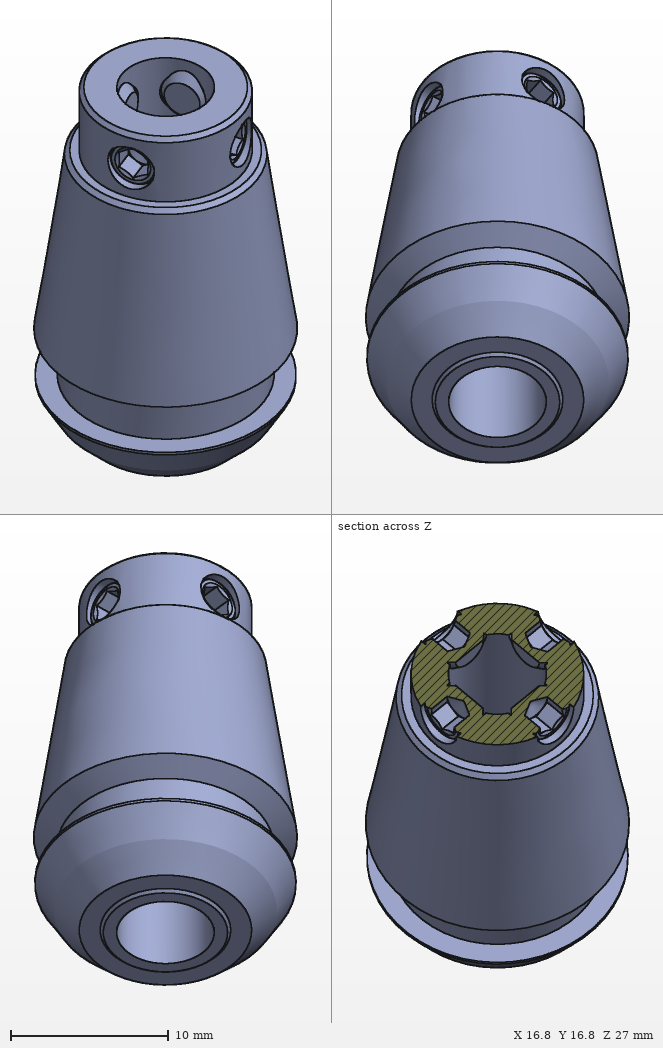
import cadquery as cq
import math

total_height = 27.0
bore_diameter = 6.2
edge_chamfer = 0.3

boss_height = 0.2
boss_bottom_radius = 3.95
nose_bottom_radius = 5.48
nose_top_radius = 7.08
nose_top = 1.85

flange_radius = 16.6 / 2
flange_top = 4.2
flange_rim_height = 0.2

groove_radius = 13.8 / 2
groove_top = 7.0

taper_base_radius = 16.76 / 2
taper_bevel_angle = 30.0
taper_half_angle = 8.0
shoulder_z = 22.0

collar_radius = 11.0 / 2

screw_count = 4
screw_z = 24.3
screw_hole_diameter = 3.24
screw_diameter = 4.0
screw_outer_end = 5.0
screw_inner_end = 2.5
screw_tip_diameter = 2.5
screw_face_diameter = 3.0
hex_width = 2.0
hex_depth = 1.5
hex_mouth_diameter = 2.5
hex_mouth_angle = 30.0
hex_floor_cone_height = 0.5


def slope(angle):
    return math.tan(math.radians(angle))


def make_body():
    """Revolve the stepped outer profile and bore it through."""
    bore_radius = bore_diameter / 2
    flange_rim_bottom = flange_top - flange_rim_height
    taper_base_z = groove_top + (taper_base_radius - groove_radius) * slope(taper_bevel_angle)
    chamfer_z = shoulder_z - edge_chamfer
    shoulder_radius = taper_base_radius - (shoulder_z - taper_base_z) * slope(taper_half_angle)
    chamfer_radius = taper_base_radius - (chamfer_z - taper_base_z) * slope(taper_half_angle)

    profile = [
        (bore_radius, 0),
        (boss_bottom_radius, 0),
        (boss_bottom_radius + boss_height, boss_height),
        (nose_bottom_radius, boss_height),
        (nose_top_radius, nose_top),
        (flange_radius, flange_rim_bottom),
        (flange_radius, flange_top),
        (groove_radius, flange_top),
        (groove_radius, groove_top),
        (taper_base_radius, taper_base_z),
        (chamfer_radius, chamfer_z),
        (shoulder_radius - edge_chamfer, shoulder_z),
        (collar_radius, shoulder_z),
        (collar_radius, total_height - edge_chamfer),
        (collar_radius - edge_chamfer, total_height),
        (bore_radius, total_height),
    ]
    return cq.Workplane("XZ").polyline(profile).close().revolve(360, (0, 0, 0), (0, 1, 0))


def revolve_about_x(points):
    """Revolve an (x, radius) outline about the X axis."""
    return cq.Workplane("XY").polyline(points).close().revolve(360, (0, 0, 0), (1, 0, 0))


def make_screw_hole():
    """Radial hole along +X, from inside the bore out through the collar."""
    return cq.Workplane("YZ").circle(screw_hole_diameter / 2).extrude(collar_radius + edge_chamfer)


def make_screw():
    """Set screw along +X: flat chamfered tip toward the bore, hex socket facing outward."""
    radius = screw_diameter / 2
    tip_radius = screw_tip_diameter / 2
    face_radius = screw_face_diameter / 2
    shank = revolve_about_x([
        (screw_inner_end, 0),
        (screw_inner_end, tip_radius),
        (screw_inner_end + radius - tip_radius, radius),
        (screw_outer_end - radius + face_radius, radius),
        (screw_outer_end, face_radius),
        (screw_outer_end, 0),
    ])

    corner_diameter = hex_width / math.cos(math.radians(30))
    socket_floor = screw_outer_end - hex_depth
    socket = (
        cq.Workplane("YZ", origin=(socket_floor, 0, 0))
        .transformed(rotate=(0, 0, 90))
        .polygon(6, corner_diameter)
        .extrude(hex_depth)
    )

    floor_cone = revolve_about_x([
        (socket_floor - hex_floor_cone_height, 0),
        (socket_floor, hex_width / 2),
        (socket_floor, 0),
    ])
    mouth_radius = hex_mouth_diameter / 2
    mouth_cone = revolve_about_x([
        (screw_outer_end - mouth_radius * slope(hex_mouth_angle), 0),
        (screw_outer_end, mouth_radius),
        (screw_outer_end, 0),
    ])
    return shank.cut(socket).cut(floor_cone).cut(mouth_cone)


def add_set_screws(body):
    """Place the holes and their screws evenly around the collar."""
    hole = make_screw_hole().translate((0, 0, screw_z))
    screw = make_screw().translate((0, 0, screw_z))
    for index in range(screw_count):
        angle = index * 360 / screw_count
        body = body.cut(hole.rotate((0, 0, 0), (0, 0, 1), angle))
        body = body.union(screw.rotate((0, 0, 0), (0, 0, 1), angle))
    return body


result = add_set_screws(make_body())